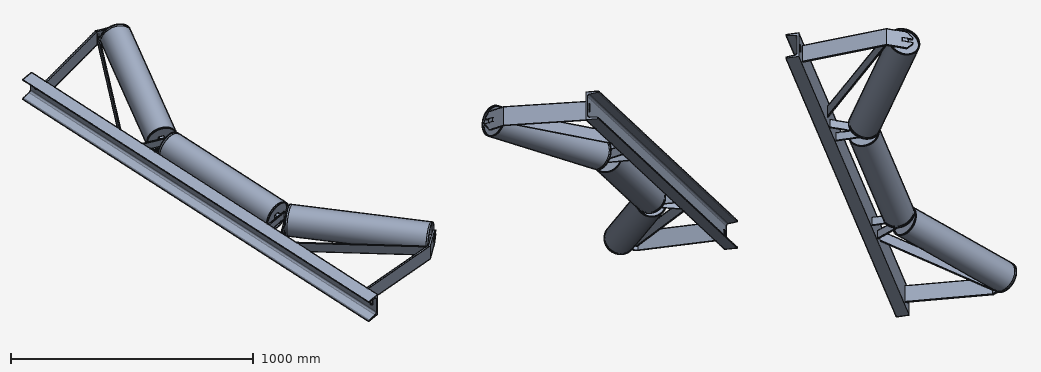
import cadquery as cq
import math


CHANNEL_LENGTH = 1900.0
CHANNEL_HEIGHT = 120.0
CHANNEL_DEPTH = 55.0
WEB_THICKNESS = 8.0
FLANGE_ROOT_THICKNESS = 11.0
FLANGE_TIP_THICKNESS = 5.0
FLANGE_ROOT_RADIUS = 10.0
FLANGE_TIP_RADIUS = 4.0
MOUNTING_SLOT_WIDTH = 15.0
MOUNTING_SLOT_HEIGHT = 35.0
MOUNTING_SLOT_INSET = 28.0

ROLLER_DIAMETER = 133.0
ROLLER_LENGTH = 600.0
RIM_THICKNESS = 4.0
RIM_DEPTH = 8.0
SHAFT_DIAMETER = 27.0
SHAFT_FLAT_HEIGHT = 17.0
TROUGH_ANGLE = 30.0
TILT_ANGLE = 1.8
WING_OUTER_END = cq.Vector(-866.0, 428.0, 0)
WING_DROP = ROLLER_LENGTH * math.sin(math.radians(TILT_ANGLE))
CENTRE_ROLLER_Y = 115.0
CENTRE_ROLLER_Z = WING_OUTER_END.z - WING_DROP

OUTER_BRACKET_THICKNESS = 8.0
OUTER_BRACKET_HEIGHT = 80.0
OUTER_GAP = 6.6
OUTER_STUB = OUTER_GAP + OUTER_BRACKET_THICKNESS
PLATE_TIP_REACH = 32.0
PLATE_TIP_CHAMFER = 25.0
ELBOW_Y = 365.0
UPRIGHT_FOOT_X = -885.0

BRACE_THICKNESS = 5.0
BRACE_HEIGHT = 50.0
BRACE_FOOT_X = -450.0
BRACE_TOP_Y = 370.0

INNER_BRACKET_THICKNESS = 5.0
INNER_BRACKET_HEIGHT = 38.0
INNER_BRACKET_TOP_Y = 146.0
INNER_BRACKET_Z = -27.0
INNER_GAP = 8.0
INNER_STUB = 7.2

TROUGH = math.radians(TROUGH_ANGLE)
TILT = math.radians(TILT_ANGLE)
X_AXIS = cq.Vector(1, 0, 0)
Z_AXIS = cq.Vector(0, 0, 1)
OUTWARD = cq.Vector(-math.cos(TROUGH), math.sin(TROUGH), 0)
UP_FACE = cq.Vector(math.sin(TROUGH), math.cos(TROUGH), 0)
WING_AXIS = OUTWARD * -math.cos(TILT) - Z_AXIS * math.sin(TILT)
WING_INNER_END = WING_OUTER_END + WING_AXIS * ROLLER_LENGTH


def horizontal_strip(points, height, z_middle):
    """A strip with the given plan outline, extruded evenly about z_middle."""
    return (
        cq.Workplane("XY", origin=(0, 0, z_middle))
        .polyline([(point.x, point.y) for point in points])
        .close()
        .extrude(height / 2, both=True)
    )


def at_y(start, direction, y):
    """The point with the given Y on the line through start."""
    return start + direction * ((y - start.y) / direction.y)


def edges_along_channel(channel, y, z):
    """The two lengthwise edges of the channel nearest to (y, z) and (y, -z)."""
    upper = cq.selectors.NearestToPointSelector((0, y, z))
    lower = cq.selectors.NearestToPointSelector((0, y, -z))
    return channel.edges("|X").edges(upper + lower)


def make_channel():
    """The channel, open towards -Y, with a mounting slot through the web near each end."""
    flange_top = CHANNEL_HEIGHT / 2
    inner_root = flange_top - FLANGE_ROOT_THICKNESS
    inner_tip = flange_top - FLANGE_TIP_THICKNESS
    outline = [
        (0, -flange_top),
        (-CHANNEL_DEPTH, -flange_top),
        (-CHANNEL_DEPTH, -inner_tip),
        (-WEB_THICKNESS, -inner_root),
        (-WEB_THICKNESS, inner_root),
        (-CHANNEL_DEPTH, inner_tip),
        (-CHANNEL_DEPTH, flange_top),
        (0, flange_top),
    ]
    channel = cq.Workplane("YZ").polyline(outline).close().extrude(CHANNEL_LENGTH / 2, both=True)
    channel = edges_along_channel(channel, -WEB_THICKNESS, inner_root).fillet(FLANGE_ROOT_RADIUS)
    channel = edges_along_channel(channel, -CHANNEL_DEPTH, inner_tip).fillet(FLANGE_TIP_RADIUS)

    slot_x = CHANNEL_LENGTH / 2 - MOUNTING_SLOT_INSET
    slots = (
        cq.Workplane("XZ")
        .pushPoints([(-slot_x, 0), (slot_x, 0)])
        .slot2D(MOUNTING_SLOT_HEIGHT, MOUNTING_SLOT_WIDTH, 90)
        .extrude(WEB_THICKNESS)
    )
    return channel.cut(slots)


def make_roller(start, axis, start_stub, end_stub):
    """A roller from start along axis, recessed inside both rims, with flatted shaft stubs."""
    sideways = Z_AXIS.cross(axis)

    def plane_at(distance):
        return cq.Plane(start + axis * distance, sideways, axis)

    barrel = cq.Workplane(plane_at(0)).circle(ROLLER_DIAMETER / 2).extrude(ROLLER_LENGTH)
    for recess_start in (0, ROLLER_LENGTH - RIM_DEPTH):
        recess = (
            cq.Workplane(plane_at(recess_start))
            .circle(ROLLER_DIAMETER / 2 - RIM_THICKNESS)
            .extrude(RIM_DEPTH)
        )
        barrel = barrel.cut(recess)

    shaft_length = start_stub + ROLLER_LENGTH + end_stub
    shaft_plane = plane_at(-start_stub)
    round_bar = cq.Workplane(shaft_plane).circle(SHAFT_DIAMETER / 2).extrude(shaft_length)
    flat_bar = cq.Workplane(shaft_plane).rect(SHAFT_DIAMETER, SHAFT_FLAT_HEIGHT).extrude(shaft_length)
    return barrel.union(round_bar.intersect(flat_bar))


def make_wing_roller():
    """The left wing roller, its outer shaft stub reaching through the outer bracket."""
    return make_roller(WING_OUTER_END, WING_AXIS, OUTER_STUB, INNER_STUB)


def make_centre_roller():
    """The level middle roller, parallel to the channel."""
    start = cq.Vector(-ROLLER_LENGTH / 2, CENTRE_ROLLER_Y, CENTRE_ROLLER_Z)
    return make_roller(start, X_AXIS, INNER_STUB, INNER_STUB)


def make_outer_bracket():
    """An upright bent into a plate along the wing roller's outer end, slotted for the shaft."""
    plate_inside = WING_OUTER_END + OUTWARD * OUTER_GAP
    plate_outside = plate_inside + OUTWARD * OUTER_BRACKET_THICKNESS
    outer_foot = cq.Vector(UPRIGHT_FOOT_X, 0, 0)
    outer_elbow = at_y(plate_outside, UP_FACE, ELBOW_Y)

    upright = (outer_elbow - outer_foot).normalized()
    upright_inward = cq.Vector(upright.y, -upright.x, 0)
    bisector = (upright_inward - OUTWARD).normalized()
    inner_elbow = outer_elbow + bisector * (OUTER_BRACKET_THICKNESS / bisector.dot(upright_inward))

    bracket = horizontal_strip(
        [
            outer_foot,
            outer_elbow,
            plate_outside + UP_FACE * PLATE_TIP_REACH,
            plate_inside + UP_FACE * PLATE_TIP_REACH,
            inner_elbow,
            at_y(inner_elbow, upright, 0),
        ],
        OUTER_BRACKET_HEIGHT,
        WING_OUTER_END.z,
    )
    bracket = bracket.edges(cq.selectors.ParallelDirSelector(OUTWARD)).chamfer(PLATE_TIP_CHAMFER)

    slot_length = SHAFT_DIAMETER / 2 + PLATE_TIP_REACH
    slot = (
        cq.Workplane(cq.Plane(WING_OUTER_END, UP_FACE, WING_AXIS * -1))
        .center((PLATE_TIP_REACH - SHAFT_DIAMETER / 2) / 2, 0)
        .rect(slot_length, SHAFT_FLAT_HEIGHT)
        .extrude(2 * OUTER_STUB)
    )
    return bracket.cut(slot)


def make_brace():
    """A straight strip from the web up to the inside of the outer bracket's plate."""
    plate_inside = WING_OUTER_END + OUTWARD * OUTER_GAP
    upper_top = at_y(plate_inside, UP_FACE, BRACE_TOP_Y)
    upper_foot = cq.Vector(BRACE_FOOT_X, 0, 0)
    run = (upper_foot - upper_top).normalized()
    across = cq.Vector(-run.y, run.x, 0)
    lower_top = upper_top - UP_FACE * (BRACE_THICKNESS / across.dot(UP_FACE))
    outline = [upper_top, upper_foot, at_y(lower_top, run, 0), lower_top]
    return horizontal_strip(outline, BRACE_HEIGHT, WING_OUTER_END.z)


def make_inner_bracket():
    """An inverted V with one leg beside the wing roller and one beside the centre roller."""
    wing_outside = WING_INNER_END - OUTWARD * INNER_GAP
    wing_inside = wing_outside - OUTWARD * INNER_BRACKET_THICKNESS
    centre_outside_x = -ROLLER_LENGTH / 2 - INNER_GAP
    centre_inside_x = centre_outside_x - INNER_BRACKET_THICKNESS
    inside_top_y = INNER_BRACKET_TOP_Y - INNER_BRACKET_THICKNESS
    outline = [
        at_y(wing_outside, UP_FACE, 0),
        at_y(wing_outside, UP_FACE, INNER_BRACKET_TOP_Y),
        cq.Vector(centre_outside_x, INNER_BRACKET_TOP_Y, 0),
        cq.Vector(centre_outside_x, 0, 0),
        cq.Vector(centre_inside_x, 0, 0),
        cq.Vector(centre_inside_x, inside_top_y, 0),
        at_y(wing_inside, UP_FACE, inside_top_y),
        at_y(wing_inside, UP_FACE, 0),
    ]
    return horizontal_strip(outline, INNER_BRACKET_HEIGHT, INNER_BRACKET_Z)


bodies = [make_channel().val(), make_centre_roller().val()]
for make_left_body in (make_wing_roller, make_outer_bracket, make_brace, make_inner_bracket):
    left_body = make_left_body()
    right_body = left_body.mirror("YZ")
    bodies.append(left_body.val())
    bodies.append(right_body.val())

result = cq.Compound.makeCompound(bodies)